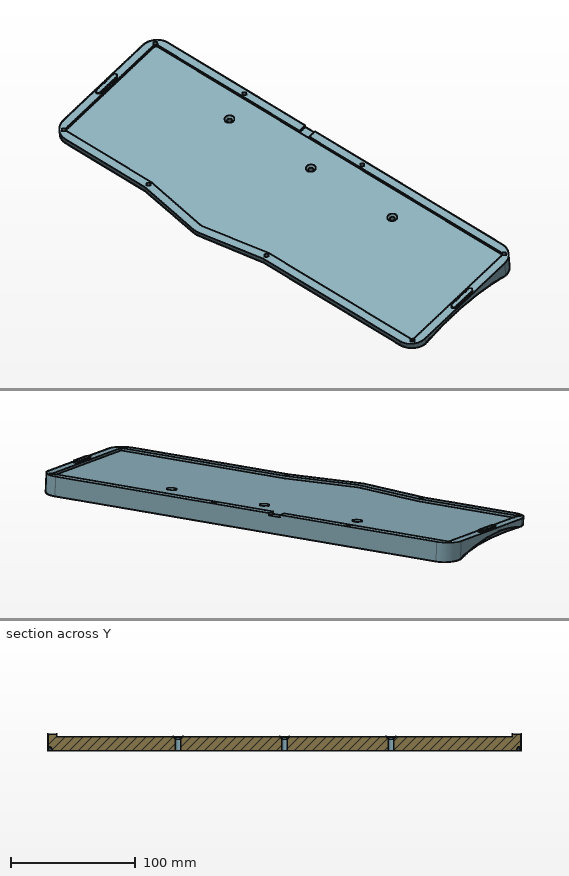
import cadquery as cq
import math

LENGTH = 379.0
WIDTH = 139.5
HEIGHT = 16.3
TILT = 5.0
TILT_RAD = math.radians(TILT)

BACK_WALL_LEAN = HEIGHT * math.tan(TILT_RAD)
BACK_EDGE = (WIDTH - BACK_WALL_LEAN) / math.cos(TILT_RAD)
CORNER_RADIUS = 14.5
TIP_X = 159.5
TIP_HALF_WIDTH = 62.0
TIP_ANGLE = math.radians(10.0)
TIP_RADIUS = 16.3
TIP_ROUNDING_LOSS = TIP_RADIUS * (1 / math.cos(TIP_ANGLE) - 1)
FRONT_EDGE = TIP_HALF_WIDTH * math.tan(TIP_ANGLE) - TIP_ROUNDING_LOSS

RIM_WIDTH = 7.2
RECESS_DEPTH = 2.1
RECESS_CORNER_RADIUS = 2.85
RECESS_TIP_RADIUS = TIP_RADIUS - RIM_WIDTH

NOTCH_X = 163.5
NOTCH_WIDTH = 10.2
NOTCH_DEPTH = 2.0

RIM_HOLE_DIAMETER = 3.5
CORNER_HOLE_INSET = 7.0
MIDDLE_HOLE_INSET = 4.0
MIDDLE_HOLE_OFFSET = 61.8

FLOOR_HOLE_DIAMETER = 4.0
COUNTERSINK_DIAMETER = 8.0
COUNTERSINK_ANGLE = 90.0
FLOOR_HOLE_PITCH = 85.3
FLOOR_HOLE_V = 108.0

PAD_LENGTH = 24.3
PAD_WIDTH = 4.0
PAD_HEIGHT = 1.33
PAD_INSET = 3.5
PAD_V = 75.0

GRIP_HEIGHT = 6.5
GRIP_CHORD = 98.5
GRIP_Y = 74.5

BLOCK_DEPTH = 2 * HEIGHT


def outline_prism(inset, depth, corner_radius, tip_radius):
    """Prism hanging below the top face, its outline moved inward by inset."""
    left = inset
    right = LENGTH - inset
    front = FRONT_EDGE + inset
    back = BACK_EDGE - inset
    tip_half_width = TIP_HALF_WIDTH - inset * math.tan(TIP_ANGLE / 2)
    tip_v = front - tip_half_width * math.tan(TIP_ANGLE)
    corners = [
        (left, front),
        (TIP_X - tip_half_width, front),
        (TIP_X, tip_v),
        (TIP_X + tip_half_width, front),
        (right, front),
        (right, back),
        (left, back),
    ]
    prism = cq.Workplane("XY").polyline(corners).close().extrude(-depth)
    prism = prism.edges("|Z").edges("<Y").fillet(tip_radius)
    return prism.edges("|Z").edges("<X or >X").fillet(corner_radius)


def cable_notch():
    notch = cq.Workplane("XY").box(NOTCH_WIDTH, 2 * RIM_WIDTH, 2 * NOTCH_DEPTH)
    return notch.translate((NOTCH_X, BACK_EDGE, 0))


def hole_places(columns, inset):
    """Places in the given columns, at the same inset from the front and back edges."""
    return [(x, v) for x in columns for v in (FRONT_EDGE + inset, BACK_EDGE - inset)]


def rim_holes():
    corner_columns = (CORNER_HOLE_INSET, LENGTH - CORNER_HOLE_INSET)
    middle_columns = (TIP_X - MIDDLE_HOLE_OFFSET, TIP_X + MIDDLE_HOLE_OFFSET)
    places = hole_places(corner_columns, CORNER_HOLE_INSET)
    places += hole_places(middle_columns, MIDDLE_HOLE_INSET)
    return cq.Workplane("XY").pushPoints(places).circle(RIM_HOLE_DIAMETER / 2).extrude(-BLOCK_DEPTH)


def with_floor_holes(body):
    floor = cq.Workplane("XY", origin=(0, 0, -RECESS_DEPTH))
    places = [(LENGTH / 2 + step * FLOOR_HOLE_PITCH, FLOOR_HOLE_V) for step in (-1, 0, 1)]
    on_floor = body.copyWorkplane(floor).pushPoints(places)
    return on_floor.cskHole(FLOOR_HOLE_DIAMETER, COUNTERSINK_DIAMETER, COUNTERSINK_ANGLE)


def side_pads():
    places = [(PAD_INSET, PAD_V), (LENGTH - PAD_INSET, PAD_V)]
    return cq.Workplane("XY").pushPoints(places).slot2D(PAD_LENGTH, PAD_WIDTH, 90).extrude(PAD_HEIGHT)


def set_on_slope(body):
    """Tilt the block so its top back edge is at full height, and trim it flat at the ground."""
    rise = BACK_EDGE * math.sin(TILT_RAD)
    tilted = body.rotate((0, 0, 0), (1, 0, 0), TILT).translate((0, 0, HEIGHT - rise))
    above_ground = cq.Workplane("XY").box(LENGTH, 2 * WIDTH, 2 * HEIGHT, centered=(False, True, False))
    return tilted.intersect(above_ground)


def finger_grip(x):
    """Shallow arc revolved about its own chord, which lies on the ground along Y."""
    chord_start = (0, GRIP_Y - GRIP_CHORD / 2)
    chord_end = (0, GRIP_Y + GRIP_CHORD / 2)
    arc = cq.Workplane("XY").moveTo(*chord_start).threePointArc((GRIP_HEIGHT, GRIP_Y), chord_end)
    return arc.close().revolve(360, chord_start, chord_end).translate((x, 0, 0))


tray = outline_prism(0, BLOCK_DEPTH, CORNER_RADIUS, TIP_RADIUS)
tray = tray.cut(outline_prism(RIM_WIDTH, RECESS_DEPTH, RECESS_CORNER_RADIUS, RECESS_TIP_RADIUS))
tray = tray.cut(cable_notch()).cut(rim_holes())
tray = with_floor_holes(tray).union(side_pads())
tray = set_on_slope(tray)

for side_x in (0, LENGTH):
    tray = tray.cut(finger_grip(side_x))

result = tray